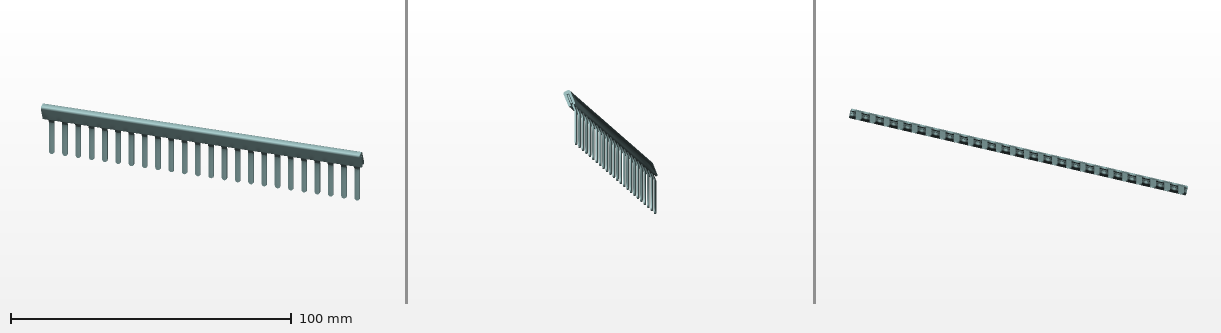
import math

import cadquery as cq

LENGTH = 123.2
WIDTH = 4.3
HEIGHT = 19.6

TILT = 22.0
HOUSING_THICKNESS = 2.7
TOP_ROUNDING = 0.8
BOTTOM_ROUNDING = 0.4

SLOT_DEPTH = 4.4
SLOT_CLEARANCE = 0.18
SLOT_END_GAP = 0.2

SHEET = 0.55
SPINE_HEIGHT = 3.5
PIN_COUNT = 24
PIN_PITCH = LENGTH / PIN_COUNT
PIN_WIDTH = 2.0
TIP_RADIUS = PIN_WIDTH / 2
BEND_HEIGHT = 12.0

SIN = math.sin(math.radians(TILT))
COS = math.cos(math.radians(TILT))

ROUNDINGS = TOP_ROUNDING + BOTTOM_ROUNDING
HOUSING_HEIGHT = ROUNDINGS + (WIDTH - ROUNDINGS - (HOUSING_THICKNESS - ROUNDINGS) * COS) / SIN

EDGE_Y = BOTTOM_ROUNDING * (SIN + COS - 1)
EDGE_Z = HEIGHT - TOP_ROUNDING * (1 - SIN) - (HOUSING_HEIGHT - TOP_ROUNDING) * COS

INNER_BEND = (-SHEET, BEND_HEIGHT)
OUTER_BEND = (0, BEND_HEIGHT + SHEET * math.tan(math.radians(TILT / 2)))


def to_housing(point):
    """Turn a (Y, Z) point into the upright frame of the housing, whose origin is its lower back edge."""
    y = point[0] - EDGE_Y
    z = point[1] - EDGE_Z
    return y * COS + z * SIN, z * COS - y * SIN


def lean(upright):
    """Tilt a body from the upright frame of the housing into its place."""
    return upright.rotate((0, 0, 0), (1, 0, 0), TILT).translate((0, EDGE_Y, EDGE_Z))


def upright_bar(length, front, back, bottom, top):
    """A bar along X, centred on X = 0, in the upright frame of the housing."""
    return cq.Workplane("XY").box(length, back - front, top - bottom).translate(
        (0, (front + back) / 2, (bottom + top) / 2)
    )


SHEET_FRONT, INNER_BEND_LEVEL = to_housing(INNER_BEND)
SHEET_BACK, OUTER_BEND_LEVEL = to_housing(OUTER_BEND)
SHEET_TOP = SLOT_DEPTH - SLOT_END_GAP


def make_housing():
    bar = upright_bar(LENGTH, -HOUSING_THICKNESS, 0, 0, HOUSING_HEIGHT)
    bar = bar.edges("|X and >Z").fillet(TOP_ROUNDING)
    bar = bar.edges("|X and <Z").fillet(BOTTOM_ROUNDING)
    slot = upright_bar(LENGTH, SHEET_FRONT - SLOT_CLEARANCE, SHEET_BACK + SLOT_CLEARANCE, 0, SLOT_DEPTH)
    return lean(bar.cut(slot))


def make_pin():
    """One pin, centred on X = 0: a straight blade with a round tip and a leaning arm above it."""
    blade = (
        cq.Workplane("YZ", origin=(-PIN_WIDTH / 2, 0, 0))
        .polyline([(-SHEET, TIP_RADIUS), (0, TIP_RADIUS), OUTER_BEND, INNER_BEND])
        .close()
        .extrude(PIN_WIDTH)
    )
    tip = cq.Workplane("XZ").center(0, TIP_RADIUS).circle(TIP_RADIUS).extrude(SHEET)
    arm = (
        cq.Workplane("YZ", origin=(-PIN_WIDTH / 2, 0, 0))
        .polyline(
            [
                (SHEET_FRONT, INNER_BEND_LEVEL),
                (SHEET_BACK, OUTER_BEND_LEVEL),
                (SHEET_BACK, SHEET_TOP),
                (SHEET_FRONT, SHEET_TOP),
            ]
        )
        .close()
        .extrude(PIN_WIDTH)
    )
    return blade.union(tip).union(lean(arm))


def make_comb():
    comb = lean(upright_bar(LENGTH, SHEET_FRONT, SHEET_BACK, SHEET_TOP - SPINE_HEIGHT, SHEET_TOP))
    pin = make_pin()
    for index in range(PIN_COUNT):
        x = (index - (PIN_COUNT - 1) / 2) * PIN_PITCH
        comb = comb.union(pin.translate((x, 0, 0)))
    return comb


housing = make_housing()
comb = make_comb()

result = cq.Compound.makeCompound([housing.val(), comb.val()])